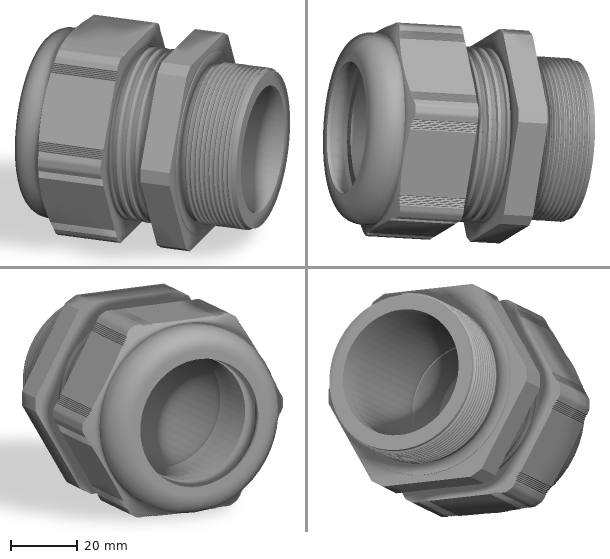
import cadquery as cq
import math


HEX_SIDES = 6
SIDE_ANGLE = 360 / HEX_SIDES
HALF_SIDE_ANGLE = math.radians(SIDE_ANGLE / 2)
HEX_APOTHEM = 29.95
HEX_TILT = -0.5

NUT_END = 31.0
NUT_ACROSS_CORNERS = 67.65
NUT_CORNER_APOTHEM = NUT_ACROSS_CORNERS / 2
NUT_CORNER_FILLET = 2.2
DOME_DIAMETER = 58.1
DOME_FILLET = 6.25
CONE_START = 9.2
CONE_END = 11.1

LIP_DIAMETER = 39.8
LIP_LENGTH = 1.0
FLARE_DIAMETER = 44.65
FLARE_END = 6.0
CHAMBER_DIAMETER = 45.1
NUT_BORE_DIAMETER = 53.3

GROOVE_COUNT = 6
GROOVE_WIDTH = 0.54
GROOVE_FLANK_ANGLE = 60
GROOVE_DEPTH = GROOVE_WIDTH / 2 * math.tan(math.radians(GROOVE_FLANK_ANGLE))
GROOVE_START = 10.5

BODY_START = 7.3
BODY_END = 71.0
NECK_DIAMETER = 51.0
FLANGE_START = 43.75
FLANGE_END = 53.05
FLANGE_CORNER_APOTHEM = 33.4
SEAT_DIAMETER = 55.6
SEAT_END = 53.25
TAIL_DIAMETER = 48.15
BORE_DIAMETER = 38.3
REAR_BORE_DIAMETER = 39.0
REAR_BORE_START = 24.15

NECK_THREAD = dict(
    core_diameter=NECK_DIAMETER, crest_diameter=53.0, pitch=3.0, turns=6,
    root_width=1.55, crest_width=0.9, start=26.6, start_angle=0,
)
TAIL_THREAD = dict(
    core_diameter=TAIL_DIAMETER, crest_diameter=49.5, pitch=1.5, turns=10,
    root_width=1.1, crest_width=0.3, start=54.95, start_angle=90,
)
THREAD_EMBED = 0.2


def cylinder(diameter, start, end):
    return cq.Workplane("YZ", origin=(start, 0, 0)).circle(diameter / 2).extrude(end - start)


def blunt_hexagon(corner_apothem, start, end):
    """Hexagonal prism with two flats facing +Z and -Z and a facet across each corner."""
    corner_radius = HEX_APOTHEM / math.cos(HALF_SIDE_ANGLE)
    facet_half = (corner_radius - corner_apothem) / math.tan(HALF_SIDE_ANGLE)
    points = []
    for side in range(HEX_SIDES):
        angle = math.radians(side * SIDE_ANGLE)
        for offset in (-facet_half, facet_half):
            points.append((
                corner_apothem * math.cos(angle) - offset * math.sin(angle),
                corner_apothem * math.sin(angle) + offset * math.cos(angle),
            ))
    return cq.Workplane("YZ", origin=(start, 0, 0)).polyline(points).close().extrude(end - start)


def tilt(shape):
    return shape.rotate((0, 0, 0), (1, 0, 0), HEX_TILT)



def grip_groove_band():
    """Cutter for the row of V grooves near the +Y end of the top flat."""
    clearance = GROOVE_WIDTH
    points = [(GROOVE_START, HEX_APOTHEM)]
    for groove in range(GROOVE_COUNT):
        near_edge = GROOVE_START + groove * GROOVE_WIDTH
        points.append((near_edge + GROOVE_WIDTH / 2, HEX_APOTHEM - GROOVE_DEPTH))
        points.append((near_edge + GROOVE_WIDTH, HEX_APOTHEM))
    points.append((points[-1][0], HEX_APOTHEM + clearance))
    points.append((GROOVE_START, HEX_APOTHEM + clearance))
    return cq.Workplane("YZ").polyline(points).close().extrude(NUT_END)


def nut_hexagon():
    """Hexagon with rounded corners, grip grooves and a conical front face."""
    hexagon = blunt_hexagon(NUT_CORNER_APOTHEM, CONE_START, NUT_END)
    hexagon = hexagon.edges("|X").fillet(NUT_CORNER_FILLET)
    band = grip_groove_band()
    for one_end in (band, band.mirror("XZ")):
        for side in range(HEX_SIDES):
            hexagon = hexagon.cut(one_end.rotate((0, 0, 0), (1, 0, 0), side * SIDE_ANGLE))

    dome_radius = DOME_DIAMETER / 2
    cone_slope = (NUT_CORNER_APOTHEM - dome_radius) / (CONE_END - CONE_START)
    outer_radius = dome_radius + cone_slope * (NUT_END - CONE_START)
    cone = (
        cq.Workplane("XY")
        .polyline([
            (CONE_START, 0),
            (CONE_START, dome_radius),
            (NUT_END, outer_radius),
            (NUT_END, 0),
        ])
        .close()
        .revolve(360, (0, 0, 0), (1, 0, 0))
    )
    return tilt(hexagon.intersect(cone))


def nut_opening():
    """Lip, inward flare, chamber and the bore around the body."""
    lip_radius = LIP_DIAMETER / 2
    chamber_radius = CHAMBER_DIAMETER / 2
    bore_radius = NUT_BORE_DIAMETER / 2
    profile = [
        (0, 0),
        (0, lip_radius),
        (LIP_LENGTH, lip_radius),
        (FLARE_END, FLARE_DIAMETER / 2),
        (FLARE_END, chamber_radius),
        (BODY_START, chamber_radius),
        (BODY_START, bore_radius),
        (NUT_END, bore_radius),
        (NUT_END, 0),
    ]
    return cq.Workplane("XY").polyline(profile).close().revolve(360, (0, 0, 0), (1, 0, 0))


def make_nut():
    dome = cylinder(DOME_DIAMETER, 0, NUT_END).faces("<X").edges().fillet(DOME_FILLET)
    return dome.union(nut_hexagon()).cut(nut_opening())



def thread_ridge(core_diameter, crest_diameter, pitch, turns, root_width, crest_width, start, start_angle):
    """Helical ridge of trapezoidal section, swept along Z and then turned onto X."""
    core_radius = core_diameter / 2
    crest_radius = crest_diameter / 2
    flank_slope = (root_width - crest_width) / 2 / (crest_radius - core_radius)
    foot_radius = core_radius - THREAD_EMBED
    foot_half = root_width / 2 + flank_slope * THREAD_EMBED
    crest_half = crest_width / 2
    path = cq.Workplane(cq.Wire.makeHelix(pitch, pitch * turns, core_radius))
    ridge = (
        cq.Workplane("XZ")
        .polyline([
            (foot_radius, -foot_half),
            (crest_radius, -crest_half),
            (crest_radius, crest_half),
            (foot_radius, foot_half),
        ])
        .close()
        .sweep(path, isFrenet=True)
    )
    along_x = ridge.rotate((0, 0, 0), (0, 1, 0), 90)
    return along_x.rotate((0, 0, 0), (1, 0, 0), start_angle + 90).translate((start, 0, 0))


def make_body():
    neck = cylinder(NECK_DIAMETER, BODY_START, FLANGE_END)
    flange = tilt(blunt_hexagon(FLANGE_CORNER_APOTHEM, FLANGE_START, FLANGE_END))
    seat = cylinder(SEAT_DIAMETER, FLANGE_END, SEAT_END)
    tail = cylinder(TAIL_DIAMETER, SEAT_END, BODY_END)
    threaded_neck = neck.union(thread_ridge(**NECK_THREAD))
    threaded_tail = tail.union(thread_ridge(**TAIL_THREAD))
    bore = cylinder(BORE_DIAMETER, BODY_START, BODY_END)
    rear_bore = cylinder(REAR_BORE_DIAMETER, REAR_BORE_START, BODY_END)
    return threaded_neck.union(flange).union(seat).union(threaded_tail).cut(bore).cut(rear_bore)


nut = make_nut()
body = make_body()

result = cq.Compound.makeCompound([nut.solids().val(), body.solids().val()])